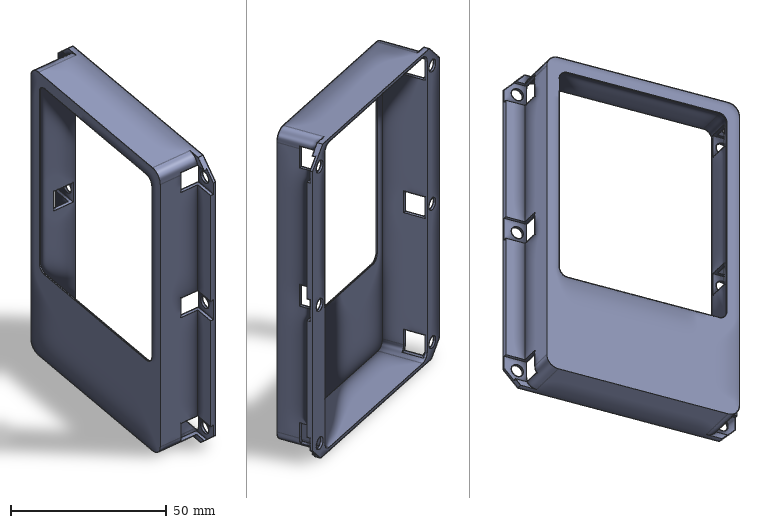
import cadquery as cq

OVERALL_WIDTH = 84.2
OVERALL_DEPTH = 17.04
OVERALL_HEIGHT = 116.05

BODY_WIDTH = 70.2
BODY_CORNER_RADIUS = 4.2
WALL_THICKNESS = 1.2
PLATE_THICKNESS = 0.5

WINDOW_WIDTH = 61.0
WINDOW_HEIGHT = 76.3
WINDOW_TOP_MARGIN = 4.7
WINDOW_CORNER_RADIUS = 3.0

FLANGE_THICKNESS = 2.04
TOP_CHAMFER = 6.8
BOTTOM_CHAMFER = 5.4

HOLE_DIAMETER = 4.34
HOLE_SPACING_X = 74.6
TAB_PITCH_Z = 51.4
TAB_CENTER_Z = -0.7
TAB_SIZE = 8.0
TAB_THICKNESS = 0.9
NOTCH_DEPTH = 7.8

HALF_HEIGHT = OVERALL_HEIGHT / 2
FLANGE_FRONT_Y = OVERALL_DEPTH - FLANGE_THICKNESS
NOTCH_BACK_Y = OVERALL_DEPTH - TAB_THICKNESS


def block(width, depth, height, front_y, center_z=0):
    """Box centred on X, starting at front_y and reaching depth towards +Y."""
    return (
        cq.Workplane("XY")
        .box(width, depth, height, centered=(True, False, True))
        .translate((0, front_y, center_z))
    )


def make_body():
    return block(BODY_WIDTH, OVERALL_DEPTH, OVERALL_HEIGHT, 0).edges("|Y").fillet(BODY_CORNER_RADIUS)


def make_flange():
    flange = block(OVERALL_WIDTH, FLANGE_THICKNESS, OVERALL_HEIGHT, FLANGE_FRONT_Y)
    flange = flange.edges("|Y and >Z").chamfer(TOP_CHAMFER)
    return flange.edges("|Y and <Z").chamfer(BOTTOM_CHAMFER)


def make_cavity():
    cavity = block(
        BODY_WIDTH - 2 * WALL_THICKNESS,
        OVERALL_DEPTH - PLATE_THICKNESS,
        OVERALL_HEIGHT - 2 * WALL_THICKNESS,
        PLATE_THICKNESS,
    )
    return cavity.edges("|Y").fillet(BODY_CORNER_RADIUS - WALL_THICKNESS)


def make_window():
    center_z = HALF_HEIGHT - WINDOW_TOP_MARGIN - WINDOW_HEIGHT / 2
    window = block(WINDOW_WIDTH, PLATE_THICKNESS, WINDOW_HEIGHT, 0, center_z)
    return window.edges("|Y").fillet(WINDOW_CORNER_RADIUS)


def make_notch(center_z):
    """Straight slot across the full width that thins the flange to a tab on both sides."""
    return block(OVERALL_WIDTH, NOTCH_DEPTH, TAB_SIZE, NOTCH_BACK_Y - NOTCH_DEPTH, center_z)


def make_screw_hole(center_x, center_z):
    """Round hole through the tab only."""
    return (
        cq.Workplane("XZ", origin=(center_x, NOTCH_BACK_Y, center_z))
        .circle(HOLE_DIAMETER / 2)
        .extrude(-TAB_THICKNESS)
    )


result = make_body().union(make_flange()).cut(make_cavity()).cut(make_window())

for row in (-1, 0, 1):
    tab_z = TAB_CENTER_Z + row * TAB_PITCH_Z
    result = result.cut(make_notch(tab_z))
    for side in (-1, 1):
        result = result.cut(make_screw_hole(side * HOLE_SPACING_X / 2, tab_z))